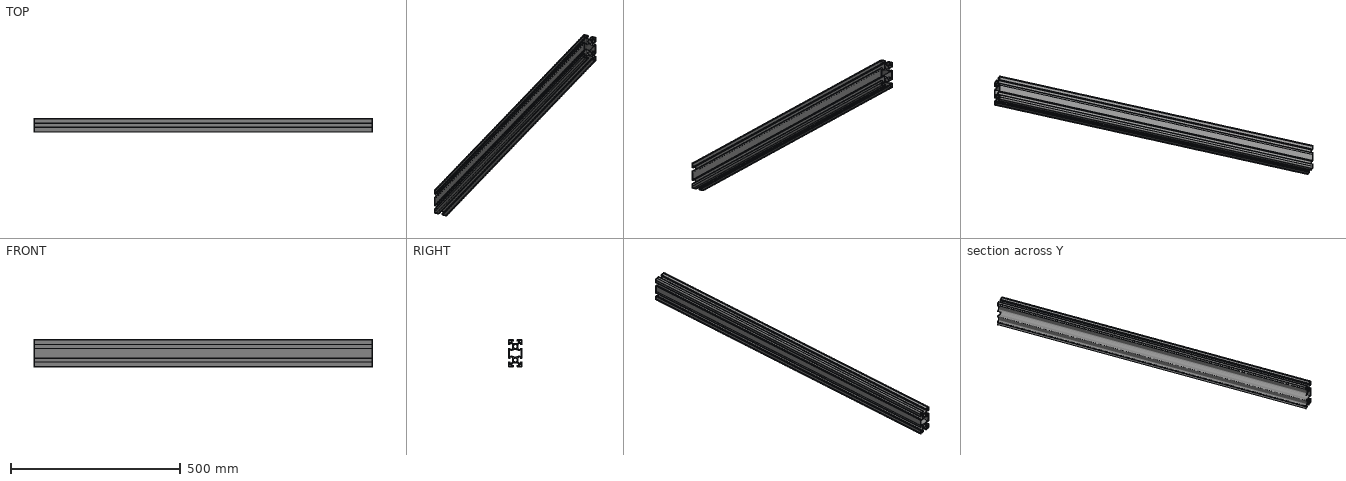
import cadquery as cq

length = 1000.0
width = 40.0
height = 80.0
corner_radius = 2.0

mouth_half_width = 5.2
step_half_width = 6.2
step_depth = 1.5
lip_thickness = 4.2
undercut_half_width = 9.3
undercut_radius = 0.9
shoulder_depth = 8.4
slot_depth = 11.3
floor_half_width = 7.0

core_z = (height - width) / 2
bore_diameter = 11.6

corner_hollow_size = 5.4
corner_hollow_inset = 4.8
corner_hollow_radius = 0.9

wall_thickness = 2.9
chamber_half_height = 9.9
rib_half_height = 8.3
rib_offset = 11.7
peak_half_height = 12.0
chamber_radius = 1.0


def profile_plane(y=0, z=0):
    """Plane at the left end of the bar: local x runs along Y, local y along Z."""
    return cq.Workplane("YZ", origin=(-length / 2, y, z))


def rounded_bar(y, z, size_y, size_z, radius):
    """Full-length rectangular bar with rounded long edges."""
    bar = profile_plane(y, z).rect(size_y, size_z).extrude(length)
    return bar.edges("|X").fillet(radius)


def slot_opening(depth, half_width):
    """Rectangular groove from the +Y face inward."""
    return profile_plane(width / 2 - depth / 2).rect(depth, 2 * half_width).extrude(length)


def slot_undercut():
    """Wide inner part of a T-slot, tapering from the shoulders to the floor."""
    face = width / 2
    upper = [
        (face - lip_thickness, undercut_half_width),
        (face - shoulder_depth, undercut_half_width),
        (face - slot_depth, floor_half_width),
    ]
    lower = [(y, -z) for y, z in reversed(upper)]
    undercut = profile_plane().polyline(upper + lower).close().extrude(length)
    return undercut.edges("|X").fillet(undercut_radius)


def t_slot():
    """Complete T-slot cutter opening along +Y, centred on the X axis."""
    mouth = slot_opening(shoulder_depth, mouth_half_width)
    step = slot_opening(step_depth, step_half_width)
    return slot_undercut().union(mouth).union(step)


def central_chamber():
    """Hollow between the cores; roof and floor peak in the middle and dip at two ribs."""
    inner_wall = width / 2 - wall_thickness
    roof = [
        (-inner_wall, chamber_half_height),
        (-rib_offset, rib_half_height),
        (0, peak_half_height),
        (rib_offset, rib_half_height),
        (inner_wall, chamber_half_height),
    ]
    floor = [(y, -z) for y, z in reversed(roof)]
    chamber = profile_plane().polyline(roof + floor).close().extrude(length)
    return chamber.edges("|X").fillet(chamber_radius)


def cut_core(body, side):
    """Cut the three T-slots and the bore of the upper (1) or lower (-1) core."""
    z = side * core_z
    for angle in (0, 180, 90 * side):
        slot = t_slot().rotate((0, 0, 0), (1, 0, 0), angle).translate((0, 0, z))
        body = body.cut(slot)
    bore = profile_plane(0, z).circle(bore_diameter / 2).extrude(length)
    return body.cut(bore)


def cut_corner_hollow(body, y_side, z_side):
    """Cut the hollow of one corner."""
    y = y_side * (width / 2 - corner_hollow_inset)
    z = z_side * (height / 2 - corner_hollow_inset)
    hollow = rounded_bar(y, z, corner_hollow_size, corner_hollow_size, corner_hollow_radius)
    return body.cut(hollow)


result = rounded_bar(0, 0, width, height, corner_radius)
result = result.cut(central_chamber())
for z_side in (1, -1):
    result = cut_core(result, z_side)
    for y_side in (1, -1):
        result = cut_corner_hollow(result, y_side, z_side)